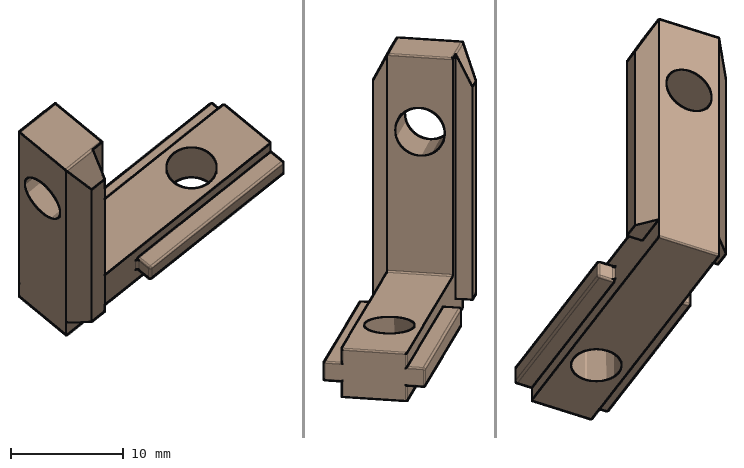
import cadquery as cq
import math

leg_length = 25.5
post_height = 25.0
body_width = 5.95
arm_thickness = 4.55
body_round = 0.15

hole_diameter = 4.45
post_hole_z = 17.88
leg_hole_y = 18.51

rail_span = 9.2
rail_start_y = 8.85
rail_bottom_z = 1.4
rail_height = 1.8
rail_round = 0.2

wing_span = 9.0
wing_depth = 3.32
wing_bevel_depth = 1.68
wing_bottom_z = 2.0
wing_shoulder_z = 21.98
taper_round = 0.23

half_body = body_width / 2
half_wing = wing_span / 2


def make_body():
    """L profile with a rounded inner corner."""
    profile = (
        cq.Workplane("YZ")
        .polyline([
            (0, 0),
            (leg_length, 0),
            (leg_length, arm_thickness),
            (arm_thickness, arm_thickness),
            (arm_thickness, post_height),
            (0, post_height),
        ])
        .close()
        .extrude(half_body, both=True)
    )
    inner_corner = cq.selectors.NearestToPointSelector((0, arm_thickness, arm_thickness))
    return profile.edges("|X").edges(inner_corner).fillet(body_round)


def make_tapered_outline(depth):
    """Front outline of the post and wings, rounded where the tapers reach the top."""
    return (
        cq.Workplane("XZ")
        .polyline([
            (-half_wing, 0),
            (half_wing, 0),
            (half_wing, wing_shoulder_z),
            (half_body, post_height),
            (-half_body, post_height),
            (-half_wing, wing_shoulder_z),
        ])
        .close()
        .extrude(-depth)
        .edges("|Y and >Z")
        .fillet(taper_round)
    )


def make_wings():
    """Wings with tapered tops and bevels meeting the front edges of the post."""
    plan = (
        cq.Workplane("XY", origin=(0, 0, wing_bottom_z))
        .polyline([
            (-half_body, 0),
            (half_body, 0),
            (half_wing, wing_bevel_depth),
            (half_wing, wing_depth),
            (-half_wing, wing_depth),
            (-half_wing, wing_bevel_depth),
        ])
        .close()
        .extrude(post_height - wing_bottom_z)
    )
    return plan.intersect(make_tapered_outline(wing_depth))


def make_rails():
    """Both rails as one bar across the leg, with rounded long and leading edges."""
    bar = cq.Workplane("XY").box(
        rail_span, leg_length - rail_start_y, rail_height, centered=(True, False, False)
    ).translate((0, rail_start_y, rail_bottom_z))
    return bar.edges("|Y or <Y").fillet(rail_round)


def round_heel(part):
    """Round the outer corner where the front face meets the base."""
    return part.faces("<Z").edges("<Y").fillet(body_round)


def round_post_top(part):
    """Round the rear edge of the post's top, then its sides to match the wing tapers."""
    part = part.faces(">Z").edges(">Y").fillet(body_round)
    return part.intersect(make_tapered_outline(leg_length))


def round_leg_end(part):
    """Round the end face of the leg except along its flat base."""
    return part.faces(">Y").edges("not <Z").fillet(body_round)


def make_rail_root(side):
    """Concave blend between the flat leading face of one rail and the leg's side."""
    arc_x = side * (half_body + rail_round)
    arc_y = rail_start_y - rail_round
    arc_reach = rail_round * math.sqrt(0.5)
    return (
        cq.Workplane("XY", origin=(0, 0, rail_bottom_z + rail_round))
        .moveTo(0, arc_y)
        .lineTo(side * half_body, arc_y)
        .threePointArc(
            (arc_x - side * arc_reach, arc_y + arc_reach),
            (arc_x, rail_start_y),
        )
        .lineTo(0, rail_start_y)
        .close()
        .extrude(rail_height - 2 * rail_round)
    )


def cut_holes(part):
    """Drill one hole through each arm."""
    radius = hole_diameter / 2
    post_hole = cq.Workplane("XZ").center(0, post_hole_z).circle(radius).extrude(-arm_thickness)
    leg_hole = cq.Workplane("XY").center(0, leg_hole_y).circle(radius).extrude(arm_thickness)
    return part.cut(post_hole).cut(leg_hole)


bracket = make_body()
bracket = round_heel(bracket)
bracket = round_post_top(bracket)
bracket = bracket.union(make_wings())
bracket = bracket.union(make_rails())
bracket = round_leg_end(bracket)
for side in (-1, 1):
    bracket = bracket.union(make_rail_root(side))
result = cut_holes(bracket)